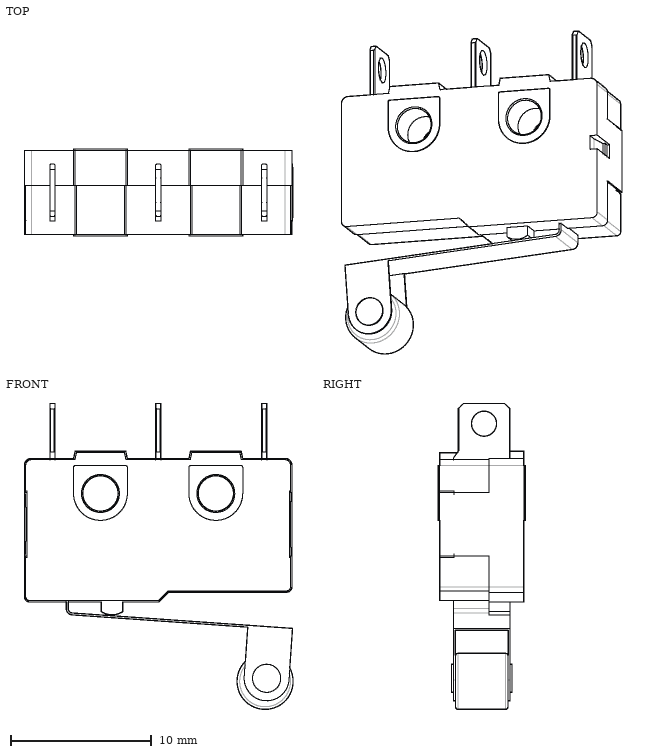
import cadquery as cq
import math


CASE_LENGTH = 19.0
CASE_HEIGHT = 10.2
HALF_DEPTH = 3.0
SEAM_Y = 0.5
TOP_CORNER_RADIUS = 0.5
BOTTOM_CORNER_RADIUS = 0.4
COVER_INSET = 0.1
STEP_START_X = 9.55
STEP_RISE = 0.7
STEP_ANGLE = math.radians(45)

HOLE_XS = (5.4, 13.6)
HOLE_Z = 7.7
HOLE_DIAMETER = 2.5
HOLE_RIM_DIAMETER = 2.7
PAD_WIDTH = 3.82
PAD_TOP_Z = 9.69
PAD_CORNER_RADIUS = 0.13
PAD_HEIGHT = 0.098
RIDGE_HEIGHT = 0.5
RIDGE_TOP_WIDTH = 3.6

TAB_BOTTOM_Z = 3.25
TAB_TOP_Z = 7.78
TAB_THICKNESS = 0.2
TAB_TIP_Y = -1.98
TAB_TIP_EDGE = 0.07
TAB_TIP_CROWN = 0.13
TAB_CLEARANCE = 0.098

NOTCH_BOTTOM_Z = 5.02
NOTCH_TOP_Z = 6.02
NOTCH_END_Y = 0.0
NOTCH_SLOPE_Y = 2.02
NOTCH_DEEP = 0.55
NOTCH_SHALLOW = 0.35

PLUNGER_X = 6.23
PLUNGER_WIDTH = 1.55
PLUNGER_BACK_Y = 2.02
PLUNGER_SIDE_DROP = 0.67
PLUNGER_DROP = 0.91

TERMINAL_FIRST_X = 2.0
TERMINAL_PITCH = 7.52
TERMINAL_COUNT = 3
TERMINAL_THICKNESS = 0.37
TERMINAL_TOP_Z = 14.1
TERMINAL_HALF_WIDTH = 2.02
TERMINAL_BLADE_FRONT_Y = -1.7
TERMINAL_FLARE_TOP_Z = 10.66
TERMINAL_DEPTH = 1.0
TERMINAL_CHAMFER = 0.4
TERMINAL_EDGE_BEVEL = 0.07
TERMINAL_HOLE_DIAMETER = 1.75
TERMINAL_HOLE_Z = 12.66

LEVER_TILT = math.radians(4)
LEVER_THICKNESS = 0.15
LEVER_HALF_WIDTH = 2.02
LEVER_FOOT_X = 2.98
LEVER_FOOT_DEPTH = 0.5
LEVER_BEND_RADIUS = 0.3
ARM_RADIUS = 1.596
ARM_LENGTH = 3.67
PIN_X = 17.2
PIN_Z = -5.4
PIN_DIAMETER = 2.0
PIN_HALF_LENGTH = 2.15

ROLLER_DIAMETER = 4.0
ROLLER_BORE = 2.5
ROLLER_EDGE_RADIUS = 0.2
ROLLER_SHIFT_X = -0.1
OVERALL_HEIGHT = 21.72
ROLLER_BOTTOM_Z = TERMINAL_TOP_Z - OVERALL_HEIGHT


def section(y):
    """X-Z workplane at the given Y; its normal points toward -Y."""
    return cq.Workplane("XZ", origin=(0, y, 0))


def along_y(sketch, length):
    """Extrude an X-Z outline toward +Y."""
    return sketch.extrude(-length)


def block(x_from, x_to, y_from, y_to, z_from, z_to):
    size = (x_to - x_from, y_to - y_from, z_to - z_from)
    return cq.Workplane("XY").box(*size, centered=False).translate((x_from, y_from, z_from))


def cylinder(x, z, diameter, y_from, y_to):
    return along_y(section(y_from).center(x, z).circle(diameter / 2), y_to - y_from)


def shell_half(y_from, y_to, inset):
    """One housing half: stepped bottom, rounded end corners and ridges over the holes."""
    depth = y_to - y_from
    left = inset
    right = CASE_LENGTH - inset
    bottom = inset
    top = CASE_HEIGHT - inset
    step_bottom = STEP_RISE + inset
    step_x = STEP_START_X - inset * math.tan(STEP_ANGLE / 2)
    outline = section(y_from).polyline([
        (left, bottom),
        (step_x, bottom),
        (step_x + STEP_RISE / math.tan(STEP_ANGLE), step_bottom),
        (right, step_bottom),
        (right, top),
        (left, top),
    ]).close()
    body = along_y(outline, depth)
    mid_y = (y_from + y_to) / 2
    corners = (
        (left, bottom, BOTTOM_CORNER_RADIUS),
        (right, step_bottom, BOTTOM_CORNER_RADIUS),
        (left, top, TOP_CORNER_RADIUS),
        (right, top, TOP_CORNER_RADIUS),
    )
    for x, z, radius in corners:
        body = body.edges(cq.NearestToPointSelector((x, mid_y, z))).fillet(radius - inset)
    for hole_x in HOLE_XS:
        half_base = PAD_WIDTH / 2 - inset
        half_top = RIDGE_TOP_WIDTH / 2 - inset
        ridge = section(y_from).polyline([
            (hole_x - half_base, top),
            (hole_x + half_base, top),
            (hole_x + half_top, top + RIDGE_HEIGHT),
            (hole_x - half_top, top + RIDGE_HEIGHT),
        ]).close()
        body = body.union(along_y(ridge, depth))
    return body


def pad(x, y_from):
    """Raised pad with a round lower end concentric with its hole."""
    radius = PAD_WIDTH / 2
    outline = (
        section(y_from)
        .moveTo(x - radius, PAD_TOP_Z)
        .lineTo(x - radius, HOLE_Z)
        .threePointArc((x, HOLE_Z - radius), (x + radius, HOLE_Z))
        .lineTo(x + radius, PAD_TOP_Z)
        .close()
    )
    return along_y(outline, PAD_HEIGHT).edges("|Y and >Z").fillet(PAD_CORNER_RADIUS)


def mounting_hole(x):
    """Through hole with a chamfered rim at both pad faces."""
    face_y = HALF_DEPTH + PAD_HEIGHT
    rim = (HOLE_RIM_DIAMETER - HOLE_DIAMETER) / 2
    plug = cylinder(x, HOLE_Z, HOLE_DIAMETER, -face_y, face_y)
    front_rim = cq.Workplane(cq.Solid.makeCone(
        HOLE_RIM_DIAMETER / 2, HOLE_DIAMETER / 2, rim, cq.Vector(x, -face_y, HOLE_Z), cq.Vector(0, 1, 0)
    ))
    return plug.union(front_rim).union(front_rim.mirror("XZ"))


def mirrored_in_x(body):
    """Copy of a left-end feature at the right end of the housing."""
    return body.mirror("YZ").translate((CASE_LENGTH, 0, 0))


def snap_tab():
    """Left tongue; its thin tip has a crowned inner face."""
    root = block(0, TAB_THICKNESS, TAB_TIP_Y, SEAM_Y, TAB_BOTTOM_Z, TAB_TOP_Z)
    tip = (
        section(-HALF_DEPTH)
        .moveTo(0, TAB_BOTTOM_Z)
        .lineTo(TAB_TIP_EDGE, TAB_BOTTOM_Z)
        .threePointArc((TAB_TIP_CROWN, (TAB_BOTTOM_Z + TAB_TOP_Z) / 2), (TAB_TIP_EDGE, TAB_TOP_Z))
        .lineTo(0, TAB_TOP_Z)
        .close()
    )
    return root.union(along_y(tip, HALF_DEPTH + TAB_TIP_Y))


def tab_recess():
    """Left cover recess: snug along the tongue root, with clearance around its tip."""
    snug = block(0, TAB_THICKNESS, TAB_TIP_Y, SEAM_Y, TAB_BOTTOM_Z, TAB_TOP_Z)
    clear_bottom = TAB_BOTTOM_Z - TAB_CLEARANCE
    clear_top = TAB_TOP_Z + TAB_CLEARANCE
    return snug.union(block(0, TAB_THICKNESS, -HALF_DEPTH, TAB_TIP_Y, clear_bottom, clear_top))


def side_notch():
    """Notch in the left end, shallower toward the seam and open at the back."""
    outline = cq.Workplane("XY", origin=(0, 0, NOTCH_BOTTOM_Z)).polyline([
        (0, HALF_DEPTH),
        (NOTCH_DEEP, HALF_DEPTH),
        (NOTCH_DEEP, NOTCH_SLOPE_Y),
        (NOTCH_SHALLOW, SEAM_Y),
        (NOTCH_SHALLOW, NOTCH_END_Y),
        (0, NOTCH_END_Y),
    ]).close()
    return outline.extrude(NOTCH_TOP_Z - NOTCH_BOTTOM_Z)


def plunger_tip():
    half = PLUNGER_WIDTH / 2
    outline = (
        section(SEAM_Y)
        .moveTo(PLUNGER_X - half, 0)
        .lineTo(PLUNGER_X - half, -PLUNGER_SIDE_DROP)
        .threePointArc((PLUNGER_X, -PLUNGER_DROP), (PLUNGER_X + half, -PLUNGER_SIDE_DROP))
        .lineTo(PLUNGER_X + half, 0)
        .close()
    )
    return along_y(outline, PLUNGER_BACK_Y - SEAM_Y)


def make_terminal(x):
    """Flat blade with a wider root sunk into the housing."""
    chamfered_top = TERMINAL_TOP_Z - TERMINAL_CHAMFER
    root_z = CASE_HEIGHT - TERMINAL_DEPTH
    front = TERMINAL_BLADE_FRONT_Y
    back = TERMINAL_HALF_WIDTH
    root_front = -TERMINAL_HALF_WIDTH
    outline = cq.Workplane("YZ", origin=(x - TERMINAL_THICKNESS / 2, 0, 0)).polyline([
        (back, root_z),
        (back, chamfered_top),
        (back - TERMINAL_CHAMFER, TERMINAL_TOP_Z),
        (front + TERMINAL_CHAMFER, TERMINAL_TOP_Z),
        (front, chamfered_top),
        (front, TERMINAL_FLARE_TOP_Z),
        (root_front, CASE_HEIGHT),
        (root_front, root_z),
    ]).close()
    blade = outline.extrude(TERMINAL_THICKNESS)
    front_edge = cq.NearestToPointSelector((x, front, (TERMINAL_FLARE_TOP_Z + chamfered_top) / 2))
    blade = blade.faces(front_edge).edges("|Z").chamfer(TERMINAL_EDGE_BEVEL)
    blade = blade.faces(">Y").edges("|Z").chamfer(TERMINAL_EDGE_BEVEL)
    eye = (
        cq.Workplane("YZ", origin=(x - TERMINAL_THICKNESS / 2, 0, 0))
        .center((front + back) / 2, TERMINAL_HOLE_Z)
        .circle(TERMINAL_HOLE_DIAMETER / 2)
        .extrude(TERMINAL_THICKNESS)
    )
    return blade.cut(eye)


def lever_point(along, above):
    """X-Z point at distances along and square to the tilted lever, from the pin centre."""
    x = PIN_X + along * math.cos(LEVER_TILT) + above * math.sin(LEVER_TILT)
    z = PIN_Z - along * math.sin(LEVER_TILT) + above * math.cos(LEVER_TILT)
    return (x, z)


def lever_height(x, above):
    """Z at a given X on the tilted line that runs at a set distance above the pin."""
    line_x, line_z = lever_point(0, above)
    return line_z - (x - line_x) * math.tan(LEVER_TILT)


def make_lever():
    """Bent strip with two roller arms and the pin that joins them."""
    under = ARM_LENGTH - LEVER_THICKNESS
    foot_inner_x = LEVER_FOOT_X + LEVER_THICKNESS
    inner_bend = (foot_inner_x, lever_height(foot_inner_x, ARM_LENGTH))
    outer_bend = (LEVER_FOOT_X, lever_height(LEVER_FOOT_X, under))
    outline = section(-LEVER_HALF_WIDTH).polyline([
        (LEVER_FOOT_X, LEVER_FOOT_DEPTH),
        outer_bend,
        lever_point(ARM_RADIUS, under),
        lever_point(ARM_RADIUS, ARM_LENGTH),
        inner_bend,
        (foot_inner_x, LEVER_FOOT_DEPTH),
    ]).close()
    lever = along_y(outline, 2 * LEVER_HALF_WIDTH)
    bends = ((inner_bend, LEVER_BEND_RADIUS), (outer_bend, LEVER_BEND_RADIUS + LEVER_THICKNESS))
    for (x, z), radius in bends:
        lever = lever.edges(cq.NearestToPointSelector((x, 0, z))).fillet(radius)
    for arm_y in (-LEVER_HALF_WIDTH, LEVER_HALF_WIDTH - LEVER_THICKNESS):
        arm = (
            section(arm_y)
            .moveTo(*lever_point(-ARM_RADIUS, ARM_LENGTH))
            .lineTo(*lever_point(ARM_RADIUS, ARM_LENGTH))
            .lineTo(*lever_point(ARM_RADIUS, 0))
            .threePointArc(lever_point(0, -ARM_RADIUS), lever_point(-ARM_RADIUS, 0))
            .close()
        )
        lever = lever.union(along_y(arm, LEVER_THICKNESS))
    return lever.union(cylinder(PIN_X, PIN_Z, PIN_DIAMETER, -PIN_HALF_LENGTH, PIN_HALF_LENGTH))


def make_roller():
    half_width = LEVER_HALF_WIDTH - LEVER_THICKNESS
    x = PIN_X + ROLLER_SHIFT_X
    z = ROLLER_BOTTOM_Z + ROLLER_DIAMETER / 2
    wheel = cylinder(x, z, ROLLER_DIAMETER, -half_width, half_width).edges().fillet(ROLLER_EDGE_RADIUS)
    return wheel.cut(cylinder(x, z, ROLLER_BORE, -half_width, half_width))


def make_case(inserts):
    case = shell_half(SEAM_Y, HALF_DEPTH, 0)
    case = case.union(snap_tab()).union(mirrored_in_x(snap_tab())).union(plunger_tip())
    case = case.cut(side_notch())
    for hole_x in HOLE_XS:
        case = case.union(pad(hole_x, HALF_DEPTH)).cut(mounting_hole(hole_x))
    for insert in inserts:
        case = case.cut(insert)
    return case


def make_cover(inserts):
    cover = shell_half(-HALF_DEPTH, SEAM_Y, COVER_INSET)
    cover = cover.cut(tab_recess()).cut(mirrored_in_x(tab_recess()))
    for hole_x in HOLE_XS:
        cover = cover.union(pad(hole_x, -HALF_DEPTH - PAD_HEIGHT)).cut(mounting_hole(hole_x))
    for insert in inserts:
        cover = cover.cut(insert)
    return cover


terminals = [make_terminal(TERMINAL_FIRST_X + i * TERMINAL_PITCH) for i in range(TERMINAL_COUNT)]
lever = make_lever()
roller = make_roller()
case = make_case(terminals + [lever])
cover = make_cover(terminals + [lever])

result = cq.Compound.makeCompound([
    case.val(),
    cover.val(),
    *[terminal.val() for terminal in terminals],
    lever.val(),
    roller.val(),
])